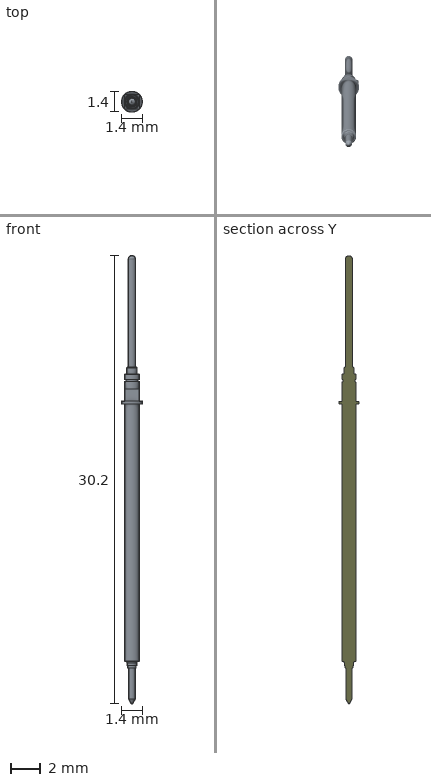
import cadquery as cq


barrel_radius = 0.5
barrel_length = 17.35
barrel_end_chamfer = 0.04
flange_radius = 0.7
flange_thickness = 0.2

square_side = 1.0
square_top = 1.0

head_radius = 0.5
waist_radius = 0.41
lower_bead_top = 1.51
upper_bead_bottom = 1.64
head_top = 2.03
head_chamfer = 0.05

neck_radius = 0.35
neck_top = 2.5
neck_chamfer = 0.06

rod_radius = 0.25
rod_top = 10.0

lip_radius = 0.36
lip_length = 0.08
collar_radius = 0.33
collar_length = 0.27
step_radius = 0.29
sleeve_length = 0.43

plunger_radius = 0.225
plunger_end = -19.86
tip_end = -20.2
tip_radius = 0.04


def cylinder(radius, bottom, top):
    """Solid cylinder on the probe axis between two heights."""
    return cq.Workplane("XY").workplane(offset=bottom).circle(radius).extrude(top - bottom)


def make_barrel():
    """Barrel hanging below the origin, with its flange on top."""
    barrel = cylinder(barrel_radius, -barrel_length, 0)
    barrel = barrel.faces("<Z").chamfer(barrel_end_chamfer)
    return barrel.union(cylinder(flange_radius, 0, flange_thickness))


def make_square_shank():
    """Square shank whose corners are rounded off at the flange radius."""
    shank = cq.Workplane("XY").rect(square_side, square_side).extrude(square_top)
    return shank.intersect(cylinder(flange_radius, 0, square_top))


def make_upper_end():
    """Revolved head, neck and rod, starting from the top of the square."""
    rod_shoulder = rod_top - rod_radius
    arc_step = rod_radius * 0.5 ** 0.5
    profile = (
        cq.Workplane("XZ")
        .moveTo(0, square_top)
        .lineTo(head_radius, square_top)
        .lineTo(head_radius, lower_bead_top)
        .lineTo(waist_radius, lower_bead_top)
        .lineTo(waist_radius, upper_bead_bottom)
        .lineTo(head_radius, upper_bead_bottom)
        .lineTo(head_radius, head_top - head_chamfer)
        .lineTo(head_radius - head_chamfer, head_top)
        .lineTo(neck_radius, head_top)
        .lineTo(neck_radius, neck_top - neck_chamfer)
        .lineTo(neck_radius - neck_chamfer, neck_top)
        .lineTo(rod_radius, neck_top)
        .lineTo(rod_radius, rod_shoulder)
        .threePointArc((arc_step, rod_shoulder + arc_step), (0, rod_top))
        .close()
    )
    return profile.revolve(360, (0, 0, 0), (0, 1, 0))


def make_lower_end():
    """Revolved sleeve, plunger and point, hanging below the barrel."""
    sleeve_top = -barrel_length
    sleeve_bottom = sleeve_top - sleeve_length
    collar_bottom = sleeve_top - collar_length
    profile = (
        cq.Workplane("XZ")
        .moveTo(0, sleeve_top)
        .lineTo(lip_radius, sleeve_top)
        .lineTo(collar_radius, sleeve_top - lip_length)
        .lineTo(collar_radius, collar_bottom)
        .lineTo(step_radius, collar_bottom)
        .lineTo(step_radius, sleeve_bottom)
        .lineTo(plunger_radius, sleeve_bottom)
        .lineTo(plunger_radius, plunger_end)
        .lineTo(tip_radius, tip_end)
        .lineTo(0, tip_end)
        .close()
    )
    return profile.revolve(360, (0, 0, 0), (0, 1, 0))


result = (
    make_barrel()
    .union(make_square_shank())
    .union(make_upper_end())
    .union(make_lower_end())
)